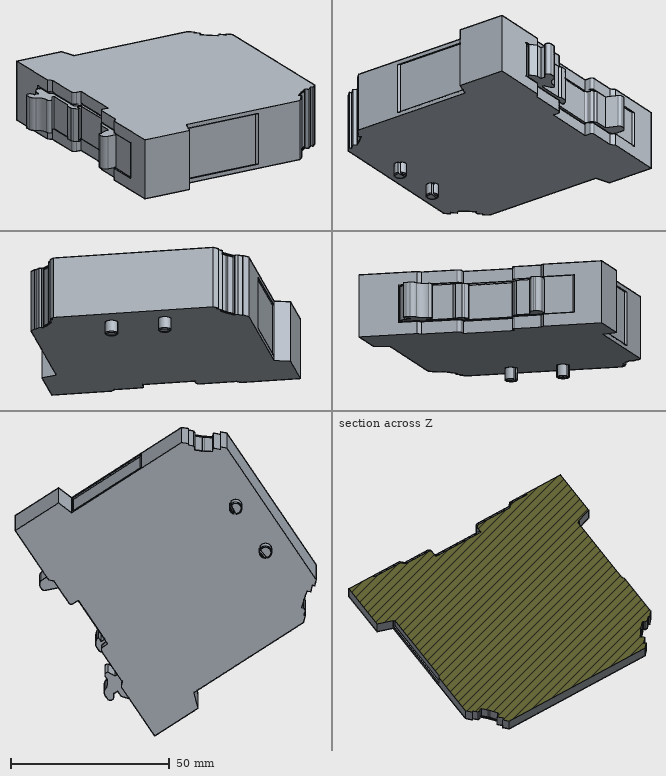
import cadquery as cq


thickness = 20.0
height = 70.6
foot_half_width = 40.0
foot_height = 16.4
shoulder_top = 18.1
half_width = 35.0

channel_left = -20.9
channel_right = 20.8
channel_depth = 1.2
rail_left = -6.8
rail_right = 10.1
rail_depth = 4.1
rail_left_radius = 1.2
rail_right_radius = 0.9

pocket_left = -27.0
pocket_right = 31.0
pocket_bottom = 4.0
pocket_top = 16.0
pocket_depth = 0.6
pocket_slope = 0.7

clip_bottom = 4.3
clip_top = 15.4

label_start = 18.4
label_end = 44.5
label_slope = 0.9
label_depth = 0.5
label_margin = 1.4

terminal_depth = 0.4
terminal_margin = 0.5

terminal_face = [(27.2, 66.1), (28.8, 63.9), (29.1, 63.4), (29.4, 63.2), (30.8, 61.7)]

peg_radius = 2.0
peg_length = 4.0
peg_x = 8.6
peg_y = 62.6
peg_chamfer = 0.3
peg_slot_offset = -1.0
peg_slot_width = 0.6
peg_slot_tilt = 6.0


def prism(outline, bottom, top):
    """Extrude a closed XY outline between two Z levels."""
    return outline.extrude(top - bottom).translate((0, 0, bottom))


def both_sides(solid):
    """Return a solid joined with its mirror image about X = 0."""
    return solid.union(solid.mirror("YZ"))


def housing():
    right_edge = [
        (foot_half_width, 0),
        (foot_half_width, foot_height),
        (half_width, shoulder_top),
        (half_width, 59.6),
        (33.5, 61.3),
        (33.2, 61.0),
        (32.0, 62.2),
        (31.1, 62.2),
        *reversed(terminal_face),
        (28.0, 67.0),
        (26.4, 68.6),
        (27.1, 69.0),
        (25.7, height),
    ]
    left_edge = [(-x, y) for x, y in reversed(right_edge)]
    return prism(cq.Workplane("XY").polyline(right_edge + left_edge).close(), 0, thickness)


def rail_channel():
    """Stepped channel for the mounting rail, through the full thickness."""
    shallow = cq.Workplane("XY").polyline([
        (channel_left, 0),
        (channel_left + channel_depth, channel_depth),
        (channel_right - channel_depth, channel_depth),
        (channel_right, 0),
    ]).close()
    left_round_end = (rail_left - rail_left_radius, channel_depth)
    right_round_end = (rail_right + rail_right_radius, channel_depth)
    deep = (
        cq.Workplane("XY")
        .moveTo(*left_round_end)
        .radiusArc((rail_left, channel_depth + rail_left_radius), -rail_left_radius)
        .lineTo(rail_left, rail_depth)
        .lineTo(rail_right, rail_depth)
        .lineTo(rail_right, channel_depth + rail_right_radius)
        .radiusArc(right_round_end, -rail_right_radius)
        .lineTo(rail_right, 0)
        .lineTo(rail_left, 0)
        .close()
    )
    return prism(shallow, 0, thickness).union(prism(deep, 0, thickness))


def clip_pocket(channel):
    """Shallow pocket whose floor lies one pocket depth behind the underside and the channel."""
    flat = prism(cq.Workplane("XY").polyline([
        (pocket_left, 0),
        (pocket_left, pocket_depth),
        (pocket_right - pocket_slope, pocket_depth),
        (pocket_right, 0),
    ]).close(), pocket_bottom, pocket_top)
    band = cq.Workplane("XY").box(
        2 * foot_half_width, height, pocket_top - pocket_bottom, centered=(True, False, False)
    ).translate((0, 0, pocket_bottom))
    return flat.union(channel.translate((0, pocket_depth, 0)).intersect(band))


def rail_clip():
    """Sliding clip: spring hook on the left, rail lip in the middle, fixed claw on the right."""
    strip_y = 0.6
    rail_strip_y = 3.7
    outline = (
        cq.Workplane("XY")
        .moveTo(-25.8, 0.8)
        .lineTo(-25.8, 0)
        .lineTo(-26.3, -0.6)
        .lineTo(-24.3, -2.3)
        .lineTo(-22.3, -2.3)
        .lineTo(-22.3, -3.9)
        .lineTo(-22.8, -4.2)
        .threePointArc((-23.4, -4.6), (-23.7, -5.3))
        .threePointArc((-23.4, -6.1), (-22.6, -6.4))
        .lineTo(-21.2, -6.4)
        .threePointArc((-20.1, -5.9), (-19.5, -5.0))
        .threePointArc((-18.3, -3.5), (-16.2, -3.0))
        .threePointArc((-15.4, -2.5), (-15.4, -1.4))
        .lineTo(-17.7, -0.2)
        .lineTo(-17.7, strip_y)
        .lineTo(-9.1, strip_y)
        .lineTo(-8.2, 0)
        .lineTo(-6.1, 0)
        .lineTo(-5.4, 0.5)
        .lineTo(-4.4, 1.7)
        .lineTo(-4.4, 2.2)
        .lineTo(-5.9, 2.2)
        .lineTo(-5.9, rail_strip_y)
        .lineTo(9.1, rail_strip_y)
        .threePointArc((9.8, 3.4), (10.0, 2.8))
        .lineTo(10.0, 2.1)
        .threePointArc((10.2, 1.4), (10.8, 1.2))
        .lineTo(11.8, strip_y)
        .lineTo(16.1, strip_y)
        .lineTo(17.6, -3.3)
        .threePointArc((18.0, -3.8), (18.7, -4.1))
        .lineTo(19.4, -4.1)
        .threePointArc((20.5, -3.6), (21.0, -2.5))
        .lineTo(21.0, 0.8)
        .lineTo(19.2, 2.4)
        .lineTo(11.2, 2.4)
        .lineTo(11.2, 5.2)
        .lineTo(-8.0, 5.2)
        .lineTo(-8.0, 2.4)
        .lineTo(-19.2, 2.4)
        .close()
    )
    return prism(outline, clip_bottom, clip_top)


def label_recesses():
    floor_x = half_width - label_depth
    outline = cq.Workplane("XY").polyline([
        (half_width, label_start),
        (half_width, label_end),
        (floor_x, label_end - label_slope),
        (floor_x, label_start),
    ]).close()
    return both_sides(prism(outline, label_margin, thickness - label_margin))


def terminal_recesses():
    """Set the terminal faces back, leaving a thin lip at the bottom and the top."""
    floor = [(x - terminal_depth, y) for x, y in reversed(terminal_face)]
    outline = cq.Workplane("XY").polyline(terminal_face + floor).close()
    return both_sides(prism(outline, terminal_margin, thickness - terminal_margin))


def pegs():
    peg = cq.Workplane("XY").circle(peg_radius).extrude(-peg_length).faces("<Z").chamfer(peg_chamfer)
    slot = cq.Workplane("XY").box(
        2 * peg_radius, peg_slot_width, peg_length, centered=(True, True, False)
    ).rotate((0, 0, 0), (0, 0, 1), peg_slot_tilt).translate((0, peg_slot_offset, -peg_length))
    return both_sides(peg.cut(slot).translate((peg_x, peg_y, 0)))


channel = rail_channel()
result = (
    housing()
    .cut(channel)
    .cut(clip_pocket(channel))
    .cut(label_recesses())
    .cut(terminal_recesses())
    .union(rail_clip())
    .union(pegs())
)